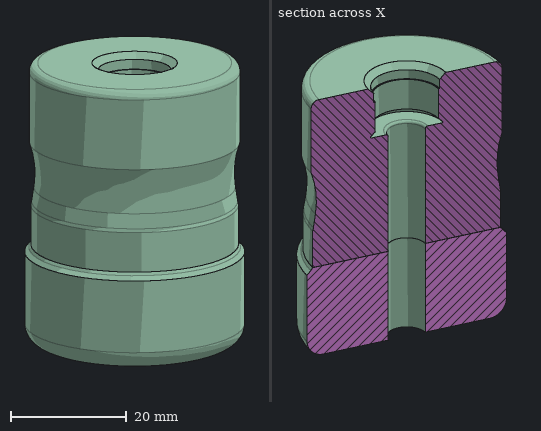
import cadquery as cq
import math

total_height = 49.85
split_height = 17.4

base_radius = 19.05
base_bottom_fillet = 3.25
base_chamfer_start_height = 16.1
base_chamfer = 0.75

head_radius = 18.25
head_fillet = 1.5
neck_radius = 17.95
neck_top_height = 24.5
cone_bottom_height = 25.15
groove_bottom_height = 27.7
waist_height = 30.15
waist_radius = 17.25
groove_top_height = 35.85

mouth_radius = 7.4
counterbore_radius = 6.25
counterbore_depth = 2.9
bore_radius = 6.0
bore_depth = 8.7
bore_flare = 1.0

hole_radius = 3.5
hole_fillet = 0.5


def groove_circle_radius():
    """Radius of the groove arc: level at the waist and ending at the head."""
    rise = groove_top_height - waist_height
    depth = head_radius - waist_radius
    return (rise**2 + depth**2) / (2 * depth)


def make_base():
    """Turned ring with a rounded foot and a double chamfer up to the neck."""
    chamfer_end_radius = base_radius - base_chamfer
    chamfer_end_height = base_chamfer_start_height + base_chamfer
    profile = (
        cq.Workplane("XZ")
        .moveTo(hole_radius, 0)
        .lineTo(base_radius - base_bottom_fillet, 0)
        .radiusArc((base_radius, base_bottom_fillet), -base_bottom_fillet)
        .lineTo(base_radius, base_chamfer_start_height)
        .lineTo(chamfer_end_radius, chamfer_end_height)
        .lineTo(neck_radius, split_height)
        .lineTo(hole_radius, split_height)
        .close()
    )
    return profile.revolve(360, (0, 0, 0), (0, 1, 0))


def make_knob_blank():
    """Solid turned knob: neck, cone, concave groove and rounded head."""
    groove_radius = groove_circle_radius()
    drop = waist_height - groove_bottom_height
    reach = math.sqrt(groove_radius**2 - drop**2)
    groove_bottom_radius = waist_radius + groove_radius - reach
    cone_slope = drop / reach
    cone_height = groove_bottom_height - cone_bottom_height
    cone_bottom_radius = groove_bottom_radius + cone_slope * cone_height
    profile = (
        cq.Workplane("XZ")
        .moveTo(0, total_height)
        .lineTo(head_radius - head_fillet, total_height)
        .radiusArc((head_radius, total_height - head_fillet), head_fillet)
        .lineTo(head_radius, groove_top_height)
        .threePointArc((waist_radius, waist_height), (groove_bottom_radius, groove_bottom_height))
        .lineTo(cone_bottom_radius, cone_bottom_height)
        .tangentArcPoint((neck_radius, neck_top_height), relative=False)
        .lineTo(neck_radius, split_height)
        .lineTo(0, split_height)
        .close()
    )
    return profile.revolve(360, (0, 0, 0), (0, 1, 0))


def make_bore():
    """Void inside the knob: chamfered counterbore, flared bore and rounded hole."""
    mouth_chamfer = mouth_radius - counterbore_radius
    ledge_height = total_height - counterbore_depth
    flare_height = total_height - bore_depth
    floor_height = flare_height - bore_flare
    profile = (
        cq.Workplane("XZ")
        .moveTo(0, total_height)
        .lineTo(mouth_radius, total_height)
        .lineTo(counterbore_radius, total_height - mouth_chamfer)
        .lineTo(counterbore_radius, ledge_height)
        .lineTo(bore_radius, ledge_height)
        .lineTo(bore_radius, flare_height)
        .lineTo(bore_radius + bore_flare, floor_height)
        .lineTo(hole_radius + hole_fillet, floor_height)
        .radiusArc((hole_radius, floor_height - hole_fillet), -hole_fillet)
        .lineTo(hole_radius, split_height)
        .lineTo(0, split_height)
        .close()
    )
    return profile.revolve(360, (0, 0, 0), (0, 1, 0))


base = make_base()
knob = make_knob_blank().cut(make_bore())

result = cq.Compound.makeCompound([base.val(), *knob.solids().vals()])